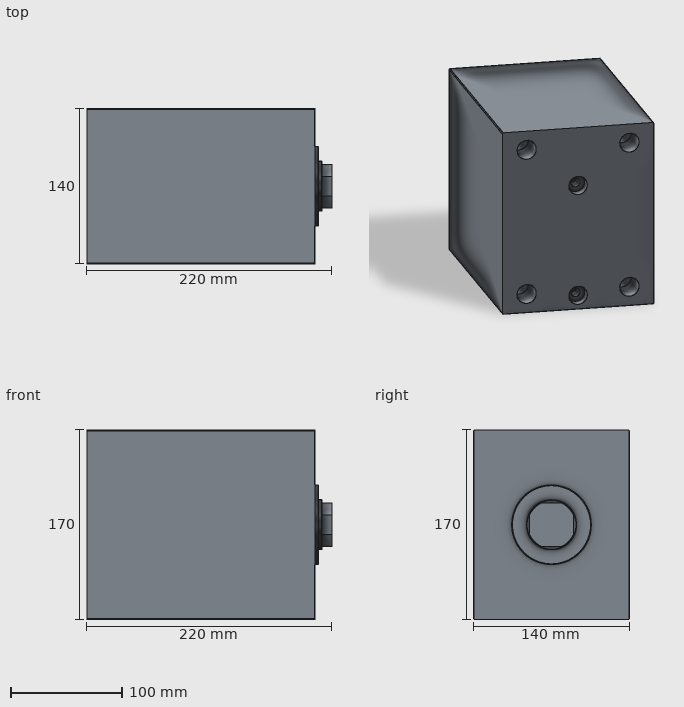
import cadquery as cq
import math

overall_length = 220.0

housing_length = 204.5
housing_width = 140.0
housing_height = 170.0
edge_chamfer = 0.9

mount_diameter = 17.5
mount_depth = 30.0
drill_point_angle = 118.0
mount_spacing_y = 94.8
mount_spacing_z = 135.0

port_diameter = 17.0
port_depth = 10.0
passage_diameter = 8.4
passage_length = 15.0
port_heights = (30.8, -72.2)

gland_diameter = 71.5
gland_thickness = 3.3
gland_chamfer = 0.7

rod_diameter = 44.9
shank_projection = 6.4
rod_chamfer = 0.5
neck_diameter = 43.1
across_flats = 39.4


def x_cylinder(diameter, start, length):
    """Solid cylinder around the X axis, starting at X = start."""
    return cq.Workplane("YZ", origin=(start, 0, 0)).circle(diameter / 2).extrude(length)


def mount_hole():
    """Cutter for one mounting hole, opening at X = 0."""
    radius = mount_diameter / 2
    point_length = radius / math.tan(math.radians(drill_point_angle / 2))
    profile = [(0, 0), (0, radius), (mount_depth, radius), (mount_depth + point_length, 0)]
    return cq.Workplane("XY").polyline(profile).close().revolve(360, (0, 0, 0), (1, 0, 0))


def port():
    """Cutter for one stepped port, opening at X = 0."""
    connection = x_cylinder(port_diameter, 0, port_depth)
    passage = x_cylinder(passage_diameter, 0, port_depth + passage_length)
    return connection.union(passage)


def make_housing():
    """Block with chamfered long edges, four mounting holes and two ports."""
    block = cq.Workplane("YZ").rect(housing_width, housing_height).extrude(housing_length)
    block = block.edges("|X").chamfer(edge_chamfer)
    for side_y in (-1, 1):
        for side_z in (-1, 1):
            position = (0, side_y * mount_spacing_y / 2, side_z * mount_spacing_z / 2)
            block = block.cut(mount_hole().translate(position))
    for height in port_heights:
        block = block.cut(port().translate((0, 0, height)))
    return block


def make_gland():
    """Ring around the rod with a chamfered outer front edge."""
    disc = x_cylinder(gland_diameter, housing_length, gland_thickness)
    disc = disc.faces(">X").chamfer(gland_chamfer)
    return disc.cut(x_cylinder(rod_diameter, housing_length, gland_thickness))


def make_rod():
    """Shank through the gland, ending in a neck with four flats."""
    shank = x_cylinder(rod_diameter, housing_length, shank_projection)
    shank = shank.faces(">X").chamfer(rod_chamfer)
    neck_start = housing_length + shank_projection
    neck_length = overall_length - neck_start
    neck = x_cylinder(neck_diameter, neck_start, neck_length)
    square = cq.Workplane("YZ", origin=(neck_start, 0, 0)).rect(across_flats, across_flats)
    return shank.union(neck.intersect(square.extrude(neck_length)))


housing = make_housing()
gland = make_gland()
rod = make_rod()

result = cq.Compound.makeCompound([housing.val(), gland.val(), rod.val()])